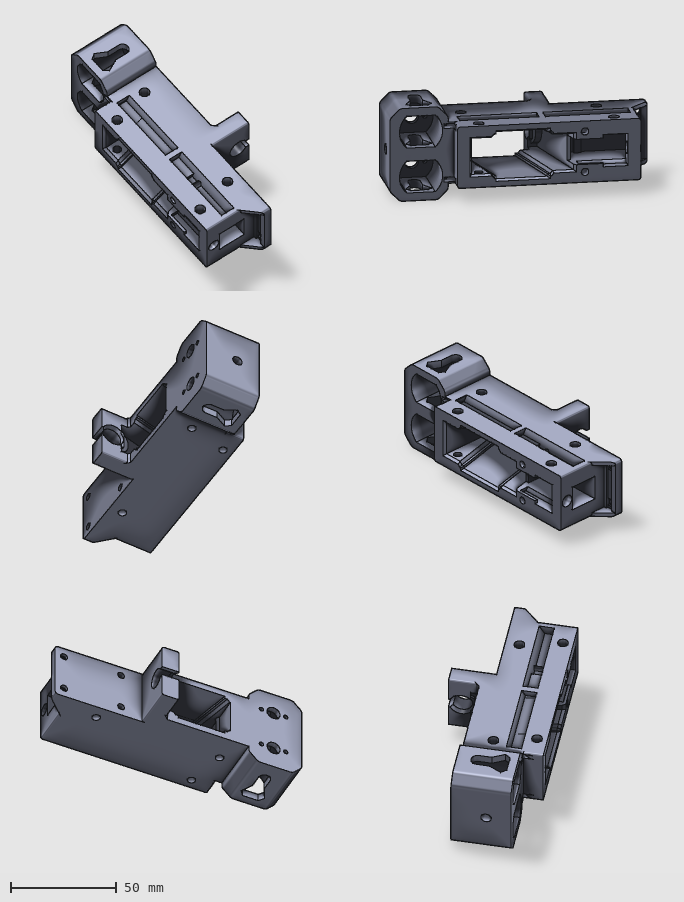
import cadquery as cq
import math

total_length = 126.75
total_depth = 53.5
motor_block_height = 45.7

motor_block_width = 28.0
motor_block_front = 9.5
motor_block_back = 38.5
block_chamfer = 4.95
block_round = 3.25
motor_x = 14.95
motor_z = 11.05
motor_diameter = 20.7
motor_flat_height = 15.6
motor_back_wall = 3.0
motor_boss_hole = 6.75
motor_screw_hole = 2.2
motor_screw_offset = 6.4

keyhole_slot_diameter = 6.0
keyhole_slot_center_y = 28.5
keyhole_neck_y = 22.1
keyhole_shoulder_y = 16.2
keyhole_foot_y = 13.6
keyhole_shoulder_half = 6.1
keyhole_foot_half = 4.1

body_height = 30.2
body_left = 30.85
body_right = 118.75
body_back = 31.9
edge_round = 1.25
half_height = body_height / 2

wing_edge_round = 1.7
wing_size = total_length - body_right
wing_plate_thickness = 4.0
wing_tip_y = body_back - wing_plate_thickness

peg_left = 72.0
peg_right = 81.0
peg_corner_fill = 1.1
peg_bore_y = 47.2
peg_bore_diameter = 10.0
peg_bore_mouth = 12.0
peg_bore_mouth_depth = 2.0
peg_slot_width = 5.0
peg_boss_y = 45.0
peg_boss_radius = 7.5
peg_boss_thickness = 2.95
peg_collar_front = 41.1
peg_collar_half = 4.4
peg_collar_root_half = 5.6
peg_collar_left = 72.6

cavity_left = 37.65
cavity_right = 87.0
cavity_half = 8.9
cavity_depth = 42.95
cavity_tilt = 13.7
cavity_mouth_chamfer = 0.85
cavity_mouth_depth = 1.6
bay_left = 50.0
bay_right = 74.5
bay_half = 11.6
bay_step_half = 10.3
bay_step_width = 1.3
bay_slope_width = 1.3

channel_half = 6.25
channel_left = 86.7
channel_right = 112.65
channel_back = 22.0
channel_mouth_wall_y = 9.0
channel_end_wall_y = 7.3
channel_rib_left = 90.2
channel_rib_right = 93.6
channel_rib_depth = 2.0
groove_left = 89.0
groove_open_left = 100.75
groove_half = 7.9
groove_lip = 1.5
groove_floor_y = 5.0
groove_back_y = 6.35
end_hole_diameter = 6.0
end_hole_y = 4.0

screw_diameter = 3.5
insert_mouth_diameter = 5.0
insert_diameter = 4.0
insert_depth = 6.8
front_screw_x = 92.0
wing_screw_x = 122.0
front_screw_z = 9.95
vertical_screws = [(36.75, 25.0), (101.75, 25.0), (41.75, 5.0)]
blind_vertical_screw = (106.75, 5.0)
side_screw_y = 21.5
wing_groove_width = 3.6
wing_cheek_inner = 13.1
wing_groove_floor_y = 29.0
wing_nut_floor_y = 30.0

top_slot_front = 10.9
top_slot_back = 18.2
top_slot_shallow = 3.0
top_slot_deep = 4.5
top_slot_wall_slope = 0.6
left_slot_span = (33.8, 71.9)
right_slot_span = (74.9, 115.7)

tie_bottom = 12.0
tie_top = 14.3
tie_inner_radius = 5.0
tie_outer_radius = 3.5
tie_left = 26.0
tie_bend_x = motor_block_width
tie_depth = 5.0
tie_slot_wall = 0.5
tie_right = left_slot_span[0] - tie_slot_wall


def box(x0, x1, y0, y1, z0, z1):
    """Box between opposite corner coordinates."""
    return cq.Workplane("XY").box(x1 - x0, y1 - y0, z1 - z0, centered=False).translate((x0, y0, z0))


def along_y(diameter, x, z, y0, y1):
    """Cylinder along Y."""
    return cq.Workplane("XZ", origin=(x, y0, z)).circle(diameter / 2).extrude(y0 - y1)


def along_x(diameter, y, z, x0, x1):
    """Cylinder along X."""
    return cq.Workplane("YZ", origin=(x0, y, z)).circle(diameter / 2).extrude(x1 - x0)


def along_z(diameter, x, y, z0, z1):
    """Cylinder along Z."""
    return cq.Workplane("XY", origin=(x, y, z0)).circle(diameter / 2).extrude(z1 - z0)


def make_motor_block():
    """Block with chamfered, softened corners along Y."""
    block = box(0, motor_block_width, motor_block_front, motor_block_back,
                -motor_block_height / 2, motor_block_height / 2)
    block = block.edges("|Y").chamfer(block_chamfer)
    return block.edges("|Y").fillet(block_round)


def make_body():
    """Body, neck, wing and peg as one outline, with the X-facing rims rounded."""
    outline = [
        (motor_block_width / 2, motor_block_front),
        (body_left, motor_block_front),
        (body_left, 0),
        (body_right, 0),
        (body_right, wing_tip_y - wing_size),
        (total_length, wing_tip_y),
        (total_length, body_back),
        (peg_right, body_back),
        (peg_right, total_depth),
        (peg_left, total_depth),
        (peg_left, motor_block_back + peg_corner_fill),
        (peg_left - peg_corner_fill, motor_block_back),
        (motor_block_width / 2, motor_block_back),
    ]
    body = cq.Workplane("XY").polyline(outline).close().extrude(half_height, both=True)
    margin = edge_round
    tip = cq.selectors.BoxSelector((total_length - margin, 0, -half_height - margin),
                                   (total_length + margin, total_depth, half_height + margin))
    body = body.edges("|Y").edges(tip).fillet(wing_edge_round)
    rims = cq.selectors.BoxSelector((body_left - margin, -margin, -half_height - margin),
                                    (body_right + margin, total_depth + margin, half_height + margin))
    return body.edges("|Y").edges(rims).fillet(edge_round)


def cut_motor_pockets(part):
    """Two flat-sided motor pockets, open at the front, with shaft and screw holes at the back."""
    pocket_depth = motor_block_back - motor_block_front - motor_back_wall
    for z in (-motor_z, motor_z):
        pocket = along_y(motor_diameter, motor_x, z, motor_block_front, motor_block_front + pocket_depth)
        flats = box(0, motor_block_width, motor_block_front, motor_block_back,
                    z - motor_flat_height / 2, z + motor_flat_height / 2)
        part = part.cut(pocket.intersect(flats))
        part = part.cut(along_y(motor_boss_hole, motor_x, z, motor_block_front, motor_block_back))
        for side in (-1, 1):
            screw_x = motor_x + side * motor_screw_offset
            part = part.cut(along_y(motor_screw_hole, screw_x, z, motor_block_front, motor_block_back))
    return part


def make_keyhole():
    """Keyhole-shaped cutter through the whole motor block height."""
    radius = keyhole_slot_diameter / 2
    return (
        cq.Workplane("XY", origin=(motor_x, 0, 0))
        .moveTo(radius, keyhole_slot_center_y)
        .threePointArc((0, keyhole_slot_center_y + radius), (-radius, keyhole_slot_center_y))
        .lineTo(-radius, keyhole_neck_y)
        .lineTo(-keyhole_shoulder_half, keyhole_shoulder_y)
        .lineTo(-keyhole_foot_half, keyhole_foot_y)
        .lineTo(keyhole_foot_half, keyhole_foot_y)
        .lineTo(keyhole_shoulder_half, keyhole_shoulder_y)
        .lineTo(radius, keyhole_neck_y)
        .close()
        .extrude(motor_block_height / 2, both=True)
    )


def lean(y):
    """Shift of the leaning cavity walls towards -X at depth y."""
    return y * math.tan(math.radians(cavity_tilt))


def cavity_wire(y, margin):
    """Cavity cross-section at depth y, widened by margin; all but the left wall leans with depth."""
    shift = lean(y)
    upper = [
        (cavity_left - margin, cavity_half + margin),
        (bay_left - bay_step_width - bay_slope_width - shift, cavity_half + margin),
        (bay_left - bay_step_width - shift, bay_step_half + margin),
        (bay_left - margin - shift, bay_step_half + margin),
        (bay_left - margin - shift, bay_half + margin),
        (bay_right + margin - shift, bay_half + margin),
        (bay_right + margin - shift, bay_step_half + margin),
        (bay_right + bay_step_width - shift, bay_step_half + margin),
        (bay_right + bay_step_width + bay_slope_width - shift, cavity_half + margin),
        (cavity_right + margin - shift, cavity_half + margin),
    ]
    lower = [(x, -z) for x, z in reversed(upper)]
    return cq.Wire.makePolygon([cq.Vector(x, y, z) for x, z in upper + lower], close=True)


def make_cavity():
    """Leaning through-cavity with a chamfered mouth, running on into the root of the peg."""
    main = cq.Solid.makeLoft([cavity_wire(0, 0), cavity_wire(motor_block_back, 0)], True)
    mouth = cq.Solid.makeLoft(
        [cavity_wire(0, cavity_mouth_chamfer), cavity_wire(cavity_mouth_depth, 0)], True)
    peg_outline = [
        (peg_left - peg_corner_fill, motor_block_back),
        (cavity_right - lean(motor_block_back), motor_block_back),
        (cavity_right - lean(cavity_depth), cavity_depth),
        (peg_left - peg_corner_fill, cavity_depth),
    ]
    peg_root = cq.Workplane("XY").polyline(peg_outline).close().extrude(cavity_half, both=True)
    return cq.Workplane(main).union(cq.Workplane(mouth)).union(peg_root)


def make_channel():
    """Channel right of the cavity, open to the front and out through the right end behind a wall."""
    front = box(cavity_right - lean(cavity_depth), channel_right, 0, channel_mouth_wall_y,
                -channel_half, channel_half)
    deep = box(channel_left, channel_right, 0, channel_back, -channel_half, channel_half)
    exit_port = box(channel_left, body_right, channel_end_wall_y, channel_back, -channel_half, channel_half)
    rib = box(channel_rib_left, channel_rib_right, channel_back - channel_rib_depth, channel_back,
              -channel_half, channel_half)
    groove_outline = [
        (groove_lip, groove_half),
        (groove_floor_y, groove_half),
        (groove_back_y, channel_half),
        (groove_back_y, -channel_half),
        (groove_floor_y, -groove_half),
        (groove_lip, -groove_half),
    ]
    groove = (
        cq.Workplane("YZ", origin=(groove_left, 0, 0))
        .polyline(groove_outline)
        .close()
        .extrude(channel_right - groove_left)
    )
    groove_mouth = box(groove_open_left, channel_right, 0, groove_floor_y, -groove_half, groove_half)
    end_hole = along_x(end_hole_diameter, end_hole_y, 0, channel_right, body_right)
    channel = front.union(deep).union(exit_port).cut(rib)
    return channel.union(groove).union(groove_mouth).union(end_hole)


def make_peg_boss():
    """Round boss, its end parallel to the leaning wall, and a flat-fronted collar at the peg bore."""
    boss = along_x(2 * peg_boss_radius, peg_boss_y, 0, peg_left, peg_right)
    slab_outline = [
        (cavity_right - peg_boss_thickness - lean(motor_block_front), motor_block_front),
        (peg_right, motor_block_front),
        (peg_right, total_depth),
        (cavity_right - peg_boss_thickness - lean(total_depth), total_depth),
    ]
    slab = cq.Workplane("XY").polyline(slab_outline).close().extrude(half_height, both=True)
    boss = boss.intersect(slab)
    collar_outline = [
        (cavity_depth, peg_collar_root_half),
        (peg_collar_front, peg_collar_half),
        (peg_collar_front, -peg_collar_half),
        (cavity_depth, -peg_collar_root_half),
    ]
    collar = (
        cq.Workplane("YZ", origin=(peg_collar_left, 0, 0))
        .polyline(collar_outline)
        .close()
        .extrude(peg_right - peg_collar_left)
    )
    return boss.union(collar)


def cut_peg_bore(part):
    """Bore along X with a conical mouth, slotted open to the rear."""
    part = part.cut(along_x(peg_bore_diameter, peg_bore_y, 0, peg_left, peg_right))
    cone = cq.Solid.makeCone(peg_bore_mouth / 2, peg_bore_diameter / 2, peg_bore_mouth_depth,
                             cq.Vector(peg_left, peg_bore_y, 0), cq.Vector(1, 0, 0))
    part = part.cut(cq.Workplane(cone))
    slot_half = peg_slot_width / 2
    return part.cut(box(peg_left, peg_right, peg_bore_y, total_depth, -slot_half, slot_half))


def make_top_slot(x0, x1, depth):
    """Slot in the top face with a sloping rear wall."""
    outline = [
        (top_slot_front, half_height),
        (top_slot_front, half_height - depth),
        (top_slot_back - depth * top_slot_wall_slope, half_height - depth),
        (top_slot_back, half_height),
    ]
    return cq.Workplane("YZ", origin=(x0, 0, 0)).polyline(outline).close().extrude(x1 - x0)


def make_insert_hole(mouth, direction):
    """Tapered hole for a threaded insert."""
    return cq.Workplane(cq.Solid.makeCone(insert_mouth_diameter / 2, insert_diameter / 2, insert_depth,
                                          cq.Vector(*mouth), cq.Vector(*direction)))


def cut_screws(part):
    """Insert holes in the top and the left side, and the front-to-back screw holes."""
    for x, y in vertical_screws:
        part = part.cut(along_z(insert_diameter, x, y, -half_height, half_height))
    for x, y in vertical_screws + [blind_vertical_screw]:
        part = part.cut(make_insert_hole((x, y, half_height), (0, 0, -1)))
    part = part.cut(make_insert_hole((0, side_screw_y, 0), (1, 0, 0)))
    for x in (front_screw_x, wing_screw_x):
        for z in (-front_screw_z, front_screw_z):
            part = part.cut(along_y(screw_diameter, x, z, 0, body_back))
    return part


def cut_wing(part):
    """Hollow between the wing cheeks, with a screw groove and a square nut seat at each screw."""
    groove_left_x = wing_screw_x - wing_groove_width / 2
    groove_right_x = wing_screw_x + wing_groove_width / 2
    part = part.cut(box(body_right, total_length, 0, wing_tip_y, -wing_cheek_inner, wing_cheek_inner))
    part = part.cut(box(groove_left_x, groove_right_x, 0, wing_groove_floor_y,
                        -wing_cheek_inner, wing_cheek_inner))
    for z in (-front_screw_z, front_screw_z):
        part = part.cut(box(groove_left_x, groove_right_x, wing_tip_y, wing_nut_floor_y,
                            z - wing_groove_width / 2, z + wing_groove_width / 2))
    return part


def make_tie_passage(z0, z1):
    """Curved passage turning from the motor block front and the body side towards +X."""
    inner_x = body_left + tie_inner_radius
    inner_y = motor_block_front - tie_inner_radius
    inner_end_y = inner_y + math.sqrt(tie_inner_radius ** 2 - (inner_x - tie_right) ** 2)
    end_angle = math.atan2(inner_end_y - inner_y, tie_right - inner_x)
    mid_angle = (end_angle + math.pi) / 2
    inner_mid = (inner_x + tie_inner_radius * math.cos(mid_angle),
                 inner_y + tie_inner_radius * math.sin(mid_angle))
    bend_y = motor_block_front + tie_depth
    outer_mid = (tie_bend_x + tie_outer_radius * (1 - math.sqrt(0.5)),
                 bend_y + tie_outer_radius * math.sqrt(0.5))
    return (
        cq.Workplane("XY", origin=(0, 0, z0))
        .moveTo(tie_left, motor_block_front)
        .lineTo(tie_left, bend_y)
        .lineTo(tie_bend_x, bend_y)
        .threePointArc(outer_mid, (tie_bend_x + tie_outer_radius, bend_y + tie_outer_radius))
        .lineTo(tie_right, bend_y + tie_outer_radius)
        .lineTo(tie_right, inner_end_y)
        .threePointArc(inner_mid, (body_left, inner_y))
        .lineTo(body_left, motor_block_front)
        .close()
        .extrude(z1 - z0)
    )


result = make_motor_block().union(make_body())
result = cut_motor_pockets(result)
result = result.cut(make_keyhole())
result = result.cut(make_cavity().cut(make_peg_boss()))
result = result.cut(make_channel())
result = cut_peg_bore(result)
for slot_start, slot_end in (left_slot_span, right_slot_span):
    result = result.cut(make_top_slot(slot_start, slot_end, top_slot_shallow))
result = result.cut(make_top_slot(channel_left, right_slot_span[1], top_slot_deep))
result = cut_wing(result)
result = cut_screws(result)
for passage_bottom, passage_top in ((tie_bottom, tie_top), (-tie_top, -tie_bottom)):
    result = result.cut(make_tie_passage(passage_bottom, passage_top))